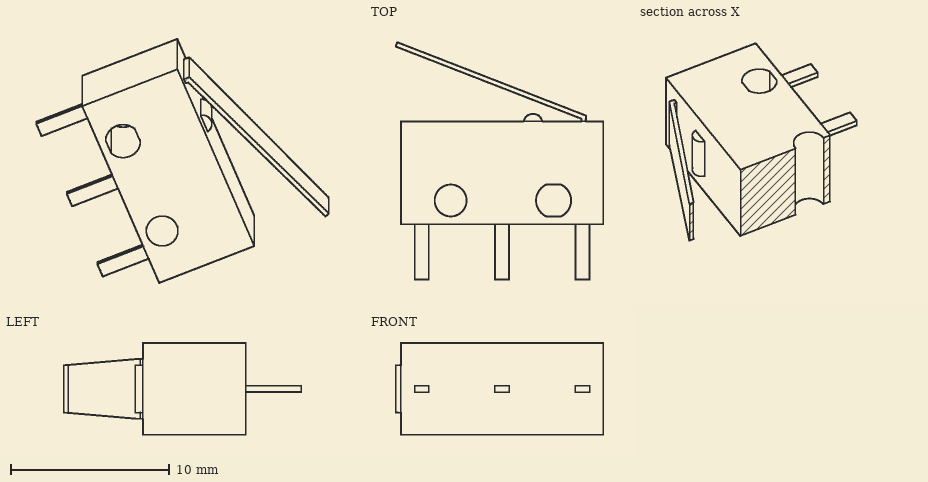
import cadquery as cq
import math

body_length = 12.8
body_height = 6.5
body_thickness = 5.8

hole_spacing = 6.5
hole_y = 1.5
hole_diameter = 2.0
wide_hole_diameter = 2.2

terminal_pitch = 5.08
terminal_width = 0.9
terminal_thickness = 0.4
terminal_length = 3.5

plunger_x = 1.95
plunger_radius = 0.6
plunger_projection = 0.48
plunger_length = 3.0

lever_thickness = 0.3
lever_leg_x = 5.3
lever_angle = math.radians(21.25)
lever_rise = 5.0
lever_overhang = 0.33
lever_root_width = 3.8
lever_tip_width = 3.0


def make_body():
    return cq.Workplane("XY").box(
        body_length, body_height, body_thickness, centered=(True, False, True)
    )


def make_mounting_holes():
    round_hole = (
        cq.Workplane("XY")
        .center(-hole_spacing / 2, hole_y)
        .circle(hole_diameter / 2)
        .extrude(body_thickness / 2, both=True)
    )
    wide_hole = (
        cq.Workplane("XY")
        .center(hole_spacing / 2, hole_y)
        .circle(wide_hole_diameter / 2)
        .extrude(body_thickness / 2, both=True)
    )
    flats = cq.Workplane("XY", origin=(hole_spacing / 2, hole_y, 0)).box(
        wide_hole_diameter, hole_diameter, body_thickness
    )
    return round_hole.union(wide_hole.intersect(flats))


def make_terminal(x):
    return cq.Workplane("XY", origin=(x, -terminal_length / 2, 0)).box(
        terminal_width, terminal_length, terminal_thickness
    )


def make_plunger():
    axis_y = body_height + plunger_projection - plunger_radius
    return (
        cq.Workplane("XY")
        .center(plunger_x, axis_y)
        .circle(plunger_radius)
        .extrude(plunger_length / 2, both=True)
    )


def make_lever():
    slope = math.tan(lever_angle)
    tip_inner_x = -body_length / 2 - lever_overhang
    tip_outer_x = tip_inner_x + lever_thickness * math.sin(lever_angle)
    tip_outer_y = body_height + lever_rise
    tip_inner_y = tip_outer_y - lever_thickness * math.cos(lever_angle)
    leg_inner_x = lever_leg_x - lever_thickness
    bend_outer_y = tip_outer_y - (lever_leg_x - tip_outer_x) * slope
    bend_inner_y = tip_inner_y - (leg_inner_x - tip_inner_x) * slope

    bent_strip = (
        cq.Workplane("XY")
        .polyline([
            (lever_leg_x, body_height),
            (lever_leg_x, bend_outer_y),
            (tip_outer_x, tip_outer_y),
            (tip_inner_x, tip_inner_y),
            (leg_inner_x, bend_inner_y),
            (leg_inner_x, body_height),
        ])
        .close()
        .extrude(lever_root_width / 2, both=True)
    )

    blade_length = (lever_leg_x - tip_outer_x) / math.cos(lever_angle)
    leg_allowance = 2 * lever_thickness
    leg_height = bend_outer_y - body_height
    blade_plane = cq.Plane(
        origin=(lever_leg_x, bend_outer_y, 0),
        xDir=(-math.cos(lever_angle), math.sin(lever_angle), 0),
        normal=(math.sin(lever_angle), math.cos(lever_angle), 0),
    )
    outline = (
        cq.Workplane(blade_plane)
        .polyline([
            (-leg_allowance, -lever_root_width / 2),
            (0, -lever_root_width / 2),
            (blade_length, -lever_tip_width / 2),
            (blade_length, lever_tip_width / 2),
            (0, lever_root_width / 2),
            (-leg_allowance, lever_root_width / 2),
        ])
        .close()
        .extrude(leg_height + lever_thickness, both=True)
    )
    return bent_strip.intersect(outline)


result = make_body().union(make_plunger()).cut(make_mounting_holes())
for position in (-1, 0, 1):
    result = result.union(make_terminal(position * terminal_pitch))
result = result.union(make_lever())